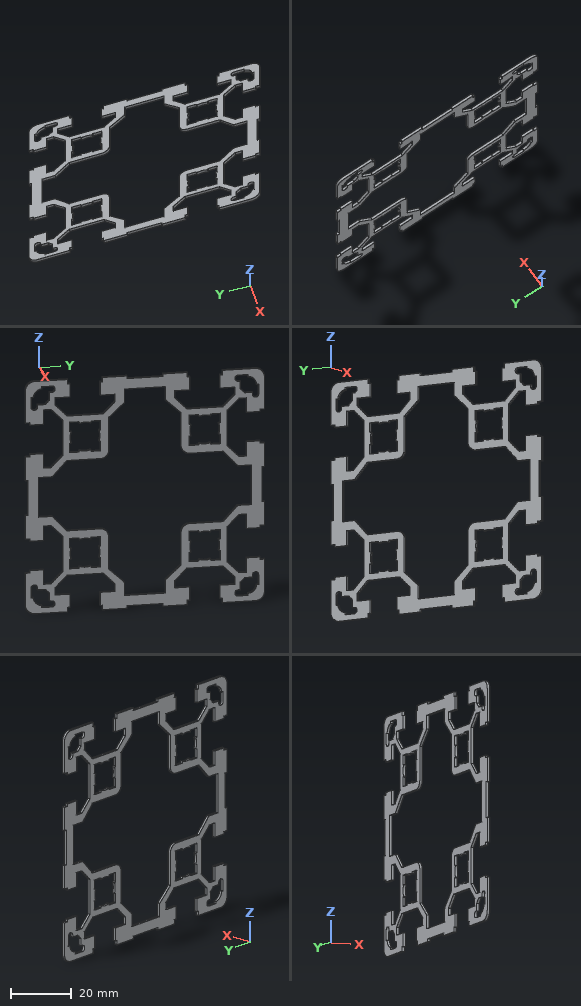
import cadquery as cq
import math

side = 80.0
thickness = 1.0
corner_radius = 3.1
half = side / 2
module_center = half / 2

mouth_half_width = 5.8
mouth_depth = 1.5
throat_half_width = 5.0
lip_depth = 6.1
slot_half_width = 10.0
slot_floor_depth = 12.6
slot_floor_half_width = 6.0
slot_wall_depth = slot_floor_depth - (slot_half_width - slot_floor_half_width)

recess_half_width = 6.0
recess_depth = 0.9

web_depth = 4.5
arm_half_width = 6.8
arm_wall_depth = 9.0
arm_root = 26.1
core_face = 12.1
core_corner_radius = 2.8

bore_half_width = 5.2
pad_radius = 5.0
pad_half_angle = math.radians(22)

pocket_near = 2.0
pocket_far = 8.2
pocket_leg_width = 2.1
pocket_leg_end = 9.9
pocket_leg_radius = pocket_leg_width / 2
pocket_chamfer = 1.5
pocket_arc_end = 5.5
pocket_arc_offset = 2.7
pocket_arc_middle = 3.6


def prism(outline):
    """Extrude a closed YZ outline through the slice."""
    return outline.close().extrude(thickness)


def sketch():
    """Start an outline in the YZ plane."""
    return cq.Workplane("YZ")


def cut_around(body, cutter):
    """Cut four copies of a cutter, a quarter turn apart about the X axis."""
    for turn in range(4):
        body = body.cut(cutter.rotate((0, 0, 0), (1, 0, 0), 90 * turn))
    return body


def t_slot(center):
    """T-slot opening in the +Z face, centred at the given Y."""
    right_side = [
        (mouth_half_width, 0),
        (mouth_half_width, mouth_depth),
        (throat_half_width, mouth_depth),
        (throat_half_width, lip_depth),
        (slot_half_width, lip_depth),
        (slot_half_width, slot_wall_depth),
        (slot_floor_half_width, slot_floor_depth),
    ]
    points = [(center + y, half - depth) for y, depth in right_side]
    points += [(center - y, half - depth) for y, depth in reversed(right_side)]
    return prism(sketch().polyline(points))


def face_recess():
    """Shallow recess in the middle of the +Z face."""
    return (
        sketch()
        .center(0, half - recess_depth / 2)
        .rect(2 * recess_half_width, recess_depth)
        .extrude(thickness)
    )


def central_cavity():
    """Cross-shaped cavity: four flared arms between the module cores."""
    quarter = [
        (half - web_depth, arm_half_width),
        (half - arm_wall_depth, arm_half_width),
        (arm_root, core_face),
    ]
    mirrored = [(z, y) for y, z in reversed(quarter)]
    quarter += [(core_face, core_face)] + mirrored
    points = []
    for turn in range(4):
        for y, z in quarter:
            for _ in range(turn):
                y, z = -z, y
            points.append((y, z))
    cavity = prism(sketch().polyline(points))
    reach = (core_face + arm_root) / 2
    core_corners = cq.selectors.BoxSelector(
        (0, -reach, -reach), (thickness, reach, reach)
    )
    return cavity.edges("|X").edges(core_corners).fillet(core_corner_radius)


def bore():
    """Square bore of the +Y +Z module, leaving a pad in the middle of each side."""
    pad_y = pad_radius * math.sin(pad_half_angle)
    pad_z = pad_radius * math.cos(pad_half_angle)
    root_y = bore_half_width * math.tan(pad_half_angle)
    pad = prism(
        sketch()
        .moveTo(-root_y, bore_half_width)
        .lineTo(-pad_y, pad_z)
        .threePointArc((0, pad_radius), (pad_y, pad_z))
        .lineTo(root_y, bore_half_width)
    )
    square = sketch().rect(2 * bore_half_width, 2 * bore_half_width).extrude(thickness)
    return cut_around(square, pad).translate((0, module_center, module_center))


def corner_pocket():
    """Crescent pocket of the +Y +Z corner, with two round-ended legs."""
    def at(y_depth, z_depth):
        """Point at the given depths inward from the +Y and +Z faces."""
        return half - y_depth, half - z_depth

    leg_inner = pocket_near + pocket_leg_width
    leg_middle = pocket_near + pocket_leg_radius
    leg_straight = pocket_leg_end - pocket_leg_radius
    return prism(
        sketch()
        .moveTo(*at(pocket_arc_end, pocket_near))
        .lineTo(*at(leg_straight, pocket_near))
        .threePointArc(at(pocket_leg_end, leg_middle), at(leg_straight, leg_inner))
        .lineTo(*at(pocket_far, leg_inner))
        .lineTo(*at(pocket_far, pocket_far - pocket_chamfer))
        .lineTo(*at(pocket_far - pocket_chamfer, pocket_far))
        .lineTo(*at(leg_inner, pocket_far))
        .lineTo(*at(leg_inner, leg_straight))
        .threePointArc(at(leg_middle, pocket_leg_end), at(pocket_near, leg_straight))
        .lineTo(*at(pocket_near, pocket_arc_end))
        .lineTo(*at(pocket_arc_offset, pocket_arc_end))
        .threePointArc(
            at(pocket_arc_middle, pocket_arc_middle),
            at(pocket_arc_end, pocket_arc_offset),
        )
    )


plate = sketch().rect(side, side).extrude(thickness).edges("|X").fillet(corner_radius)
plate = plate.cut(central_cavity())
for cutter in (
    t_slot(-module_center),
    t_slot(module_center),
    face_recess(),
    bore(),
    corner_pocket(),
):
    plate = cut_around(plate, cutter)

result = plate.translate((-thickness / 2, 0, 0))